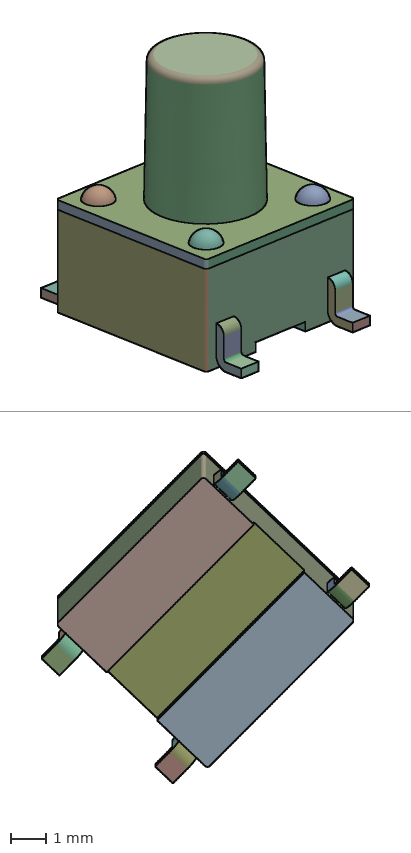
import cadquery as cq
import math

body_side = 6.0
base_height = 3.2
cover_thickness = 0.3
corner_radius = 0.1
cover_top = base_height + cover_thickness

channel_width = 2.0
channel_depth = 0.3

rivet_diameter = 1.0
rivet_height = 0.4
rivet_offset = 2.15

button_bottom_diameter = 3.5
button_top = 8.0
button_draft_angle = 1.0
button_edge_radius = 0.2

terminal_span = 8.0
terminal_width = 0.7
terminal_height = 1.4
terminal_thickness = 0.3
terminal_offset = 2.25
bend_outer_radius = 0.4
bend_inner_radius = bend_outer_radius - terminal_thickness


def make_block(height, bottom):
    """Square block with rounded vertical corners, its underside at the given height."""
    return (
        cq.Workplane("XY")
        .workplane(offset=bottom)
        .rect(body_side, body_side)
        .extrude(height)
        .edges("|Z")
        .fillet(corner_radius)
    )


def make_base():
    """Base block with the channel cut through its underside."""
    channel = cq.Workplane("XY").box(
        body_side, channel_width, channel_depth, centered=(True, True, False)
    )
    return make_block(base_height, 0).cut(channel)


def make_cover():
    """Cover plate with a rounded rivet head near each corner."""
    cover = make_block(cover_thickness, base_height)
    rim_radius = rivet_diameter / 2
    ball_radius = (rim_radius**2 + rivet_height**2) / (2 * rivet_height)
    half_cap_angle = math.asin(rim_radius / ball_radius) / 2
    crown_middle = (
        ball_radius * math.sin(half_cap_angle),
        rivet_height - ball_radius * (1 - math.cos(half_cap_angle)),
    )
    rivet = (
        cq.Workplane("XZ")
        .moveTo(0, -cover_thickness)
        .lineTo(rim_radius, -cover_thickness)
        .lineTo(rim_radius, 0)
        .threePointArc(crown_middle, (0, rivet_height))
        .close()
        .revolve(360, (0, 0), (0, 1))
    )
    for x_side in (-1, 1):
        for y_side in (-1, 1):
            place = (x_side * rivet_offset, y_side * rivet_offset, cover_top)
            cover = cover.union(rivet.translate(place))
    return cover


def make_button():
    """Round button that narrows upward and has a rounded top edge."""
    return (
        cq.Workplane("XY")
        .workplane(offset=cover_top)
        .circle(button_bottom_diameter / 2)
        .extrude(button_top - cover_top, taper=button_draft_angle)
        .faces(">Z")
        .edges()
        .fillet(button_edge_radius)
    )


def make_terminal(y_center):
    """Terminal on the +X wall: an upright with a rounded top, bent outward into a foot."""
    wall = body_side / 2
    outer_face = wall + terminal_thickness
    tip = terminal_span / 2
    bend_x = wall + bend_outer_radius
    bend_z = bend_outer_radius
    diagonal = math.cos(math.radians(45))
    top_arc_z = terminal_height - terminal_thickness

    outer_bend_middle = (bend_x - bend_outer_radius * diagonal, bend_z - bend_outer_radius * diagonal)
    inner_bend_middle = (bend_x - bend_inner_radius * diagonal, bend_z - bend_inner_radius * diagonal)
    top_arc_middle = (wall + terminal_thickness * diagonal, top_arc_z + terminal_thickness * diagonal)

    return (
        cq.Workplane("XZ", origin=(0, y_center, 0))
        .moveTo(tip, 0)
        .lineTo(bend_x, 0)
        .threePointArc(outer_bend_middle, (wall, bend_z))
        .lineTo(wall, terminal_height)
        .threePointArc(top_arc_middle, (outer_face, top_arc_z))
        .lineTo(outer_face, bend_z)
        .threePointArc(inner_bend_middle, (bend_x, terminal_thickness))
        .lineTo(tip, terminal_thickness)
        .close()
        .extrude(terminal_width / 2, both=True)
    )


base = make_base()
cover = make_cover()
button = make_button()

terminals = []
for y_side in (-1, 1):
    right_terminal = make_terminal(y_side * terminal_offset)
    left_terminal = right_terminal.mirror("YZ")
    terminals.append(right_terminal.val())
    terminals.append(left_terminal.val())

result = cq.Compound.makeCompound([base.val(), cover.val(), button.val(), *terminals])